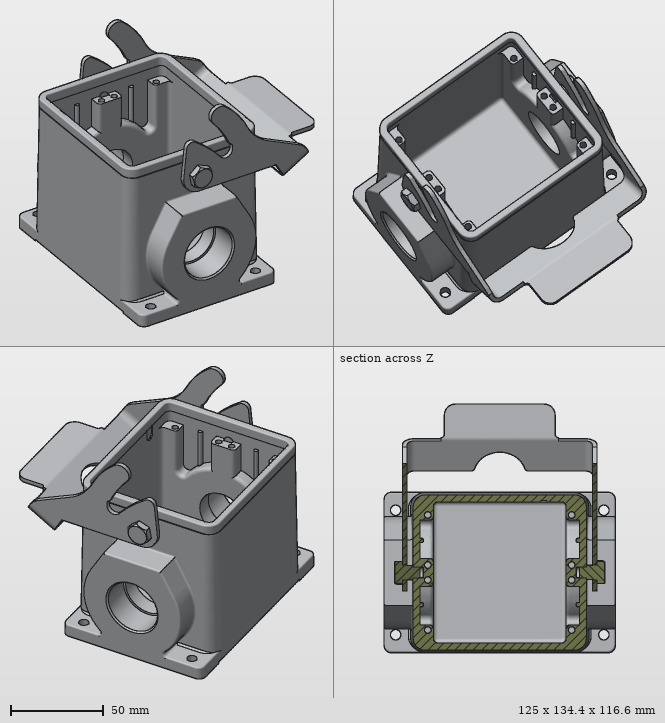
import cadquery as cq
import math

BASE_LENGTH = 125.0
BASE_WIDTH = 86.8
BASE_HEIGHT = 7.4
BASE_CORNER_RADIUS = 4.0
BASE_EDGE_RADIUS = 1.0
UNDERSIDE_RELIEF_LENGTH = 87.4
UNDERSIDE_RELIEF_DEPTH = 0.8

WALL_TOP = 85.2
WALL_FOOT_LENGTH = 96.5
WALL_CORNER_RADIUS = 8.0
WALL_DRAFT = 1.0
FOOT_FLARE = 1.1

MOUNT_HOLE_DIAMETER = 5.5
MOUNT_HOLE_X = 56.2
MOUNT_HOLE_Y = 33.6

ENTRY_HEIGHT = 33.1
ENTRY_RADIUS = 30.4
ENTRY_TOP = 63.2
ENTRY_SIDE_ANGLE = 30.0
ENTRY_EDGE_RADIUS = 1.1
ENTRY_ROOT_RADIUS = 1.1
ENTRY_NECK_RADIUS = 1.7
ENTRY_THREAD_DIAMETER = 30.5
ENTRY_THREAD_DEPTH = 17.5
ENTRY_BORE_DIAMETER = 28.0
ENTRY_MOUTH_CHAMFER = 1.0

CAVITY_LENGTH = 86.0
CAVITY_WIDTH = 76.1
CAVITY_CORNER_RADIUS = 3.2
FLOOR_HEIGHT = 5.4
FLOOR_LENGTH = 71.5
FLOOR_EDGE_RADIUS = 2.3

COLUMN_TOP = 78.6
COLUMN_EDGE_RADIUS = 2.2
MIDDLE_COLUMN_HALF = 7.7
CORNER_COLUMN_Y = 28.2
ARCH_RADIUS = 29.2
ARCH_FILLET = 3.0
COLUMN_HOLE_DIAMETER = 3.5
COLUMN_HOLE_DEPTH = 13.5
COLUMN_HOLE_X = 38.9
COLUMN_HOLE_Y = (4.0, 31.0)

RIB_WIDTH = 2.4
RIB_REACH = 1.9
RIB_Y = 17.3

SLOT_WIDTH = 5.9
SLOT_BOTTOM = 77.3
SLOT_DEPTH = 0.8
SLOT_X = 23.7

EDGE_SEARCH = 0.5

SEAL_LENGTH = 94.6
SEAL_WIDTH = 84.4
SEAL_CORNER_RADIUS = 7.7
SEAL_HEIGHT = 5.6
SEAL_EDGE_RADIUS = 0.8

BOLT_HEIGHT = 77.7
SHANK_DIAMETER = 7.9
SHOULDER_X = 47.0
THREAD_DIAMETER = 5.5
BOLT_BORE_END_X = 41.4
HEAD_CORNERS = 13.6
HEAD_HEIGHT = 4.2
HEAD_TURN = 100.0
HEAD_CAP_DIAMETER = 11.3
HEAD_CAP_HEIGHT = 1.2

LEVER_HALF_LENGTH = 52.5
SHEET = 2.5
PIVOT_HOLE_DIAMETER = 8.0
PIVOT_END_RADIUS = 10.1
BEND_RADIUS = 6.7
CROSSBAR_ANGLE = 30.0
CROSSBAR_WIDTH = 18.8
CROSSBAR_Y = 56.0
CROSSBAR_Z = 56.0
CUTOUT_RADIUS = 14.0
CUTOUT_DEPTH = 11.7
CUTOUT_CORNER_RADIUS = 2.0
HOOK_TIP = (13.3, 111.0)
HOOK_TIP_RADIUS = 5.6
HOOK_TIP_ANGLES = (49, 130, 215)
NOTCH = (17.1, 87.1)
NOTCH_RADIUS = 4.2
NOTCH_ANGLES = (0, 290, 220)
NOTCH_LIP = 2.5
FOOT_CORNER_LOW = (67.8, 73.0)
FOOT_CORNER_HIGH = (64.8, 75.0)
ARM_ROOT = (42.3, 85.5)
ARM_BACK_BEND = (36.5, 90.0)
ARM_BACK = (31.2, 97.3)
ARM_BACK_BULGE = (25.8, 106.3)
ARM_FRONT_BEND = (16.1, 97.7)
ARM_FRONT = (19.5, 91.0)
CAM_BEND = (7.0, 91.7)
CAM_TOP = (-3.1, 99.7)
CAM_NOSE = (-7.0, 99.2)
CAM_FRONT = (-8.2, 96.7)
TAB_END_Y = 91.0
TAB_HALF = 30.0
TAB_TOP = 68.2
TAB_CORNER_RADIUS = 6.0
TAB_ROOT_RADIUS = 1.7


def polar(centre, radius, degrees):
    angle = math.radians(degrees)
    return (centre[0] + radius * math.cos(angle), centre[1] + radius * math.sin(angle))


def rounded_box(length, width, height, radius, bottom):
    box = cq.Workplane("XY").box(length, width, height, centered=(True, True, False))
    return box.edges("|Z").fillet(radius).translate((0, 0, bottom))


def along_x(profile, start, end):
    """Extrude a closed outline drawn on the YZ plane from x = start to x = end."""
    return profile.extrude(end - start).translate((start, 0, 0))


def both_ends(solid):
    return solid.union(solid.mirror("YZ"))


def edges_at_both_ends(solid, low_corner, high_corner):
    """Edges centred in a box at the +X end or in its mirror image at the -X end."""
    mirrored = [(-x, y, z) for x, y, z in (low_corner, high_corner)]
    box = cq.selectors.BoxSelector(low_corner, high_corner)
    return solid.edges(box + cq.selectors.BoxSelector(*mirrored))


def make_base():
    """Rounded base plate, its +Y and -Y sides drafted like the walls."""
    foot_half = BASE_WIDTH / 2
    top_half = foot_half - BASE_HEIGHT * math.tan(math.radians(WALL_DRAFT))
    section = [(-foot_half, 0), (foot_half, 0), (top_half, BASE_HEIGHT), (-top_half, BASE_HEIGHT)]
    base = along_x(cq.Workplane("YZ").polyline(section).close(), -BASE_LENGTH / 2, BASE_LENGTH / 2)
    base = base.edges("not(|X or |Y)").fillet(BASE_CORNER_RADIUS)
    return base.faces(">Z").edges().fillet(BASE_EDGE_RADIUS)


def make_walls():
    """Drafted wall block, flush with the +Y and -Y sides of the base."""
    outline = cq.Sketch().rect(WALL_FOOT_LENGTH, BASE_WIDTH).vertices().fillet(WALL_CORNER_RADIUS)
    return cq.Workplane("XY").placeSketch(outline).extrude(WALL_TOP, taper=WALL_DRAFT)


def make_foot_flare():
    """Small bevel where the walls stand on the base."""
    outline = cq.Sketch().rect(WALL_FOOT_LENGTH + 2 * FOOT_FLARE, BASE_WIDTH - 2 * BASE_EDGE_RADIUS)
    outline = outline.vertices().fillet(WALL_CORNER_RADIUS)
    return cq.Workplane("XY", origin=(0, 0, BASE_HEIGHT)).placeSketch(outline).extrude(FOOT_FLARE, taper=45)


def make_entry():
    """Flat-topped round boss on the +X end, narrowing to a neck above the base."""
    centre = (0, ENTRY_HEIGHT)
    tangent = polar(centre, ENTRY_RADIUS, ENTRY_SIDE_ANGLE)
    slope = math.tan(math.radians(ENTRY_SIDE_ANGLE))
    top_half = tangent[0] - (ENTRY_TOP - tangent[1]) * slope
    neck_z = BASE_HEIGHT + ENTRY_NECK_RADIUS
    neck_y = math.sqrt((ENTRY_RADIUS + ENTRY_NECK_RADIUS) ** 2 - (ENTRY_HEIGHT - neck_z) ** 2)
    neck = (neck_y, neck_z)
    neck_angle = math.degrees(math.atan2(ENTRY_HEIGHT - neck_z, -neck_y))
    neck_start = polar(neck, ENTRY_NECK_RADIUS, neck_angle)
    neck_middle = polar(neck, ENTRY_NECK_RADIUS, (neck_angle + 270) / 2)
    half = (
        cq.Workplane("YZ")
        .moveTo(0, ENTRY_TOP)
        .lineTo(top_half, ENTRY_TOP)
        .lineTo(*tangent)
        .threePointArc((ENTRY_RADIUS, ENTRY_HEIGHT), neck_start)
        .threePointArc(neck_middle, (neck_y, BASE_HEIGHT))
        .lineTo(neck_y, 0)
        .lineTo(0, 0)
        .close()
    )
    boss_half = along_x(half, CAVITY_LENGTH / 2, BASE_LENGTH / 2)
    boss = boss_half.union(boss_half.mirror("XZ"))
    return boss.faces(">X").edges("not(<Z)").fillet(ENTRY_EDGE_RADIUS)


def make_cavity():
    """Deep middle of the cavity, its floor edges rounded."""
    height = WALL_TOP - FLOOR_HEIGHT
    deep = cq.Workplane("XY").box(FLOOR_LENGTH, CAVITY_WIDTH, height, centered=(True, True, False))
    return deep.edges("|Z or <Z").fillet(FLOOR_EDGE_RADIUS).translate((0, 0, FLOOR_HEIGHT))


def make_rib():
    """Upright half-round rib on the +X end wall."""
    wall = CAVITY_LENGTH / 2
    nose_x = wall - RIB_REACH + RIB_WIDTH / 2
    nose = cq.Workplane("XY").center(nose_x, RIB_Y).circle(RIB_WIDTH / 2).extrude(COLUMN_TOP)
    back = cq.Workplane("XY").center((nose_x + wall) / 2, RIB_Y).rect(wall - nose_x, RIB_WIDTH)
    return nose.union(back.extrude(COLUMN_TOP))


def make_pocket():
    """Pocket between the middle and a corner column, its floor arched concentric with the cable entry."""
    centre = (0, ENTRY_HEIGHT)
    fillet_y = CORNER_COLUMN_Y - ARCH_FILLET
    reach = ARCH_RADIUS + ARCH_FILLET
    fillet = (fillet_y, ENTRY_HEIGHT + math.sqrt(reach**2 - fillet_y**2))
    touch_angle = math.degrees(math.acos(fillet_y / reach))
    start_angle = math.degrees(math.acos(MIDDLE_COLUMN_HALF / ARCH_RADIUS))
    outline = (
        cq.Workplane("YZ")
        .moveTo(MIDDLE_COLUMN_HALF, COLUMN_TOP)
        .lineTo(*polar(centre, ARCH_RADIUS, start_angle))
        .threePointArc(
            polar(centre, ARCH_RADIUS, (start_angle + touch_angle) / 2),
            polar(centre, ARCH_RADIUS, touch_angle),
        )
        .threePointArc(
            polar(fillet, ARCH_FILLET, (touch_angle + 180 + 360) / 2),
            (CORNER_COLUMN_Y, fillet[1]),
        )
        .lineTo(CORNER_COLUMN_Y, COLUMN_TOP)
        .close()
    )
    return along_x(outline, 0, CAVITY_LENGTH / 2).cut(make_rib())


def hollow_out(shell):
    """Cut the cavity, leaving columns and ribs standing at each end."""
    above_columns = rounded_box(CAVITY_LENGTH, CAVITY_WIDTH, WALL_TOP, CAVITY_CORNER_RADIUS, COLUMN_TOP)
    pockets = make_pocket()
    pockets = both_ends(pockets.union(pockets.mirror("XZ")))
    shell = shell.cut(make_cavity()).cut(above_columns).cut(pockets)

    face = FLOOR_LENGTH / 2
    low = (face - EDGE_SEARCH, -CAVITY_WIDTH / 2, ENTRY_HEIGHT + ENTRY_BORE_DIAMETER / 2)
    high = (face + EDGE_SEARCH, CAVITY_WIDTH / 2, COLUMN_TOP - EDGE_SEARCH)
    return edges_at_both_ends(shell, low, high).fillet(COLUMN_EDGE_RADIUS)


def make_shell():
    """Solid outside shape of the housing."""
    walls = make_walls().union(both_ends(make_entry()))
    low = (CAVITY_LENGTH / 2 + EDGE_SEARCH, -CAVITY_WIDTH / 2, EDGE_SEARCH)
    high = (WALL_FOOT_LENGTH / 2 + EDGE_SEARCH, CAVITY_WIDTH / 2, ENTRY_TOP + EDGE_SEARCH)
    walls = edges_at_both_ends(walls, low, high).fillet(ENTRY_ROOT_RADIUS)
    return make_base().union(walls).union(make_foot_flare())


def make_entry_bore():
    """Bore, wider thread and bevelled mouth of the cable entry at the +X end."""
    outer_face = cq.Workplane("YZ", origin=(BASE_LENGTH / 2, 0, ENTRY_HEIGHT))
    bore = outer_face.circle(ENTRY_BORE_DIAMETER / 2).extrude(-BASE_LENGTH / 2)
    thread = outer_face.circle(ENTRY_THREAD_DIAMETER / 2).extrude(-ENTRY_THREAD_DEPTH)
    mouth = outer_face.circle(ENTRY_THREAD_DIAMETER / 2 + ENTRY_MOUTH_CHAMFER)
    mouth = mouth.extrude(-ENTRY_MOUTH_CHAMFER, taper=45)
    return bore.union(thread).union(mouth)


def make_bolt_bore():
    """Bore for the +X stud, running on into the middle column, and a flat seat for the shank."""
    stud = along_x(cq.Workplane("YZ").circle(THREAD_DIAMETER / 2), BOLT_BORE_END_X, SHOULDER_X)
    seat = along_x(cq.Workplane("YZ").circle(SHANK_DIAMETER / 2), SHOULDER_X, LEVER_HALF_LENGTH)
    return stud.union(seat).translate((0, 0, BOLT_HEIGHT))


def make_slot():
    """Shallow round-ended slot in the +Y cavity wall, open at the top."""
    centre_z = SLOT_BOTTOM + SLOT_WIDTH / 2
    wall = cq.Workplane("XZ", origin=(SLOT_X, CAVITY_WIDTH / 2, 0))
    end = wall.center(0, centre_z).circle(SLOT_WIDTH / 2).extrude(-SLOT_DEPTH)
    height = WALL_TOP - centre_z
    shaft = wall.center(0, centre_z + height / 2).rect(SLOT_WIDTH, height).extrude(-SLOT_DEPTH)
    return end.union(shaft)


def four_points(x, y):
    return [(sx * x, sy * y) for sx in (-1, 1) for sy in (-1, 1)]


def make_housing():
    housing = hollow_out(make_shell())
    housing = housing.cut(both_ends(make_entry_bore())).cut(both_ends(make_bolt_bore())).cut(make_slot())

    mounts = cq.Workplane("XY").pushPoints(four_points(MOUNT_HOLE_X, MOUNT_HOLE_Y))
    housing = housing.cut(mounts.circle(MOUNT_HOLE_DIAMETER / 2).extrude(BASE_HEIGHT))
    column_tops = cq.Workplane("XY", origin=(0, 0, COLUMN_TOP))
    for hole_y in COLUMN_HOLE_Y:
        holes = column_tops.pushPoints(four_points(COLUMN_HOLE_X, hole_y)).circle(COLUMN_HOLE_DIAMETER / 2)
        housing = housing.cut(holes.extrude(-COLUMN_HOLE_DEPTH))

    relief = cq.Workplane("XY").rect(UNDERSIDE_RELIEF_LENGTH, BASE_WIDTH)
    return housing.cut(relief.extrude(UNDERSIDE_RELIEF_DEPTH))


def make_seal():
    ring = rounded_box(SEAL_LENGTH, SEAL_WIDTH, SEAL_HEIGHT, SEAL_CORNER_RADIUS, WALL_TOP)
    ring = ring.cut(rounded_box(CAVITY_LENGTH, CAVITY_WIDTH, SEAL_HEIGHT, CAVITY_CORNER_RADIUS, WALL_TOP))
    return ring.faces(">Z").edges().fillet(SEAL_EDGE_RADIUS)


def make_bolt():
    """Bolt at the +X end, its hexagon head outside the lever."""
    axis = (0, 0, BOLT_HEIGHT)
    head = cq.Workplane("YZ").polygon(6, HEAD_CORNERS).extrude(HEAD_HEIGHT)
    head = head.rotate((0, 0, 0), (1, 0, 0), HEAD_TURN)
    cap_flare = (HEAD_CORNERS - HEAD_CAP_DIAMETER) / 2 * HEAD_HEIGHT / HEAD_CAP_HEIGHT
    cap = cq.Workplane("YZ", origin=(HEAD_HEIGHT, 0, 0)).circle(HEAD_CAP_DIAMETER / 2)
    cap = cap.workplane(offset=-HEAD_HEIGHT).circle(HEAD_CAP_DIAMETER / 2 + cap_flare).loft()
    head = head.intersect(cap).translate((LEVER_HALF_LENGTH, 0, 0))
    shank = along_x(cq.Workplane("YZ").circle(SHANK_DIAMETER / 2), SHOULDER_X, LEVER_HALF_LENGTH)
    stud = along_x(cq.Workplane("YZ").circle(THREAD_DIAMETER / 2), CAVITY_LENGTH / 2, SHOULDER_X)
    return head.union(shank).union(stud).translate(axis)


def make_side_plate():
    """Hooked plate on the +X side, down to the start of the bend."""
    angle = math.radians(CROSSBAR_ANGLE)
    inner_foot = (CROSSBAR_Y - BEND_RADIUS * math.sin(angle), CROSSBAR_Z + BEND_RADIUS * math.cos(angle))
    outer_foot = polar(inner_foot, CROSSBAR_WIDTH, CROSSBAR_ANGLE)
    underside = BOLT_HEIGHT - PIVOT_END_RADIUS
    pivot = (0, BOLT_HEIGHT)
    knee_y = inner_foot[0] - (underside - inner_foot[1]) * math.tan(angle)
    tip = [polar(HOOK_TIP, HOOK_TIP_RADIUS, turn) for turn in HOOK_TIP_ANGLES]
    notch = [polar(NOTCH, NOTCH_RADIUS, turn) for turn in NOTCH_ANGLES]
    profile = (
        cq.Workplane("YZ")
        .moveTo(*inner_foot)
        .lineTo(*outer_foot)
        .lineTo(*FOOT_CORNER_LOW)
        .lineTo(*FOOT_CORNER_HIGH)
        .lineTo(*ARM_ROOT)
        .threePointArc(ARM_BACK_BEND, ARM_BACK)
        .threePointArc(ARM_BACK_BULGE, tip[0])
        .threePointArc(tip[1], tip[2])
        .threePointArc(ARM_FRONT_BEND, ARM_FRONT)
        .lineTo(NOTCH[0] + NOTCH_RADIUS, NOTCH[1] + NOTCH_LIP)
        .lineTo(*notch[0])
        .threePointArc(notch[1], notch[2])
        .threePointArc(CAM_BEND, CAM_TOP)
        .threePointArc(CAM_NOSE, CAM_FRONT)
        .lineTo(-PIVOT_END_RADIUS, BOLT_HEIGHT)
        .threePointArc(polar(pivot, PIVOT_END_RADIUS, 225), (0, underside))
        .lineTo(knee_y, underside)
        .close()
    )
    plate = along_x(profile, LEVER_HALF_LENGTH - SHEET, LEVER_HALF_LENGTH)
    pivot_hole = cq.Workplane("YZ", origin=(0, *pivot)).circle(PIVOT_HOLE_DIAMETER / 2)
    return plate.cut(pivot_hole.extrude(BASE_LENGTH))


def make_crossbar():
    """Tilted sheet joining the side plates, bent round at both ends and cut out in its lower edge."""
    angle = math.radians(CROSSBAR_ANGLE)
    along = (0, math.cos(angle), math.sin(angle))
    foot = cq.Plane(origin=(0, CROSSBAR_Y, CROSSBAR_Z), xDir=(1, 0, 0), normal=along)
    end = LEVER_HALF_LENGTH
    bend_start = end - BEND_RADIUS
    inner_bend = BEND_RADIUS - SHEET
    outer_middle = polar((bend_start, -BEND_RADIUS), BEND_RADIUS, 45)
    inner_middle = polar((bend_start, -BEND_RADIUS), inner_bend, 45)
    half = (
        cq.Workplane(foot)
        .moveTo(0, 0)
        .lineTo(bend_start, 0)
        .threePointArc(outer_middle, (end, -BEND_RADIUS))
        .lineTo(end - SHEET, -BEND_RADIUS)
        .threePointArc(inner_middle, (bend_start, -SHEET))
        .lineTo(0, -SHEET)
        .close()
        .extrude(CROSSBAR_WIDTH)
    )
    bar = half.union(half.mirror("YZ"))

    face = cq.Plane(origin=(0, CROSSBAR_Y, CROSSBAR_Z), xDir=(1, 0, 0), normal=(0, -along[2], along[1]))
    centre = (0, CUTOUT_DEPTH - CUTOUT_RADIUS)
    reach = CUTOUT_RADIUS + CUTOUT_CORNER_RADIUS
    corner_x = math.sqrt(reach**2 - (CUTOUT_CORNER_RADIUS - centre[1]) ** 2)
    corner = (corner_x, CUTOUT_CORNER_RADIUS)
    touch_angle = math.degrees(math.asin((CUTOUT_CORNER_RADIUS - centre[1]) / reach))
    touch = polar(centre, CUTOUT_RADIUS, touch_angle)
    corner_middle = polar(corner, CUTOUT_CORNER_RADIUS, (touch_angle + 180 + 270) / 2)
    cutout_half = (
        cq.Workplane(face)
        .moveTo(0, CUTOUT_DEPTH)
        .threePointArc(polar(centre, CUTOUT_RADIUS, (touch_angle + 90) / 2), touch)
        .threePointArc(corner_middle, (corner_x, 0))
        .lineTo(0, 0)
        .close()
        .extrude(SHEET)
    )
    return bar.cut(cutout_half).cut(cutout_half.mirror("YZ"))


def make_tab():
    """Flat thumb tab with rounded corners, bent level from the upper edge of the crossbar."""
    angle = math.radians(CROSSBAR_ANGLE)
    lower = polar((CROSSBAR_Y, CROSSBAR_Z), CROSSBAR_WIDTH, CROSSBAR_ANGLE)
    upper = polar(lower, SHEET, CROSSBAR_ANGLE + 90)
    crease_y = upper[0] + (TAB_TOP - upper[1]) / math.tan(angle)
    tangent_length = math.dist(upper, (crease_y, TAB_TOP))
    root_y = crease_y + tangent_length
    bend_radius = tangent_length / math.tan(angle / 2)
    bend_middle = polar((root_y, TAB_TOP - bend_radius), bend_radius, 90 + CROSSBAR_ANGLE / 2)
    flare_half = TAB_HALF + TAB_ROOT_RADIUS
    bend = along_x(
        cq.Workplane("YZ")
        .moveTo(*lower)
        .lineTo(*upper)
        .threePointArc(bend_middle, (root_y, TAB_TOP))
        .lineTo(root_y, TAB_TOP - SHEET)
        .close(),
        -flare_half,
        flare_half,
    )

    flare_end = root_y + TAB_ROOT_RADIUS
    flare_middle = polar((flare_half, flare_end), TAB_ROOT_RADIUS, 225)
    corner = (TAB_HALF - TAB_CORNER_RADIUS, TAB_END_Y - TAB_CORNER_RADIUS)
    half = (
        cq.Workplane("XY", origin=(0, 0, TAB_TOP))
        .moveTo(0, root_y)
        .lineTo(flare_half, root_y)
        .threePointArc(flare_middle, (TAB_HALF, flare_end))
        .lineTo(TAB_HALF, corner[1])
        .threePointArc(polar(corner, TAB_CORNER_RADIUS, 45), (corner[0], TAB_END_Y))
        .lineTo(0, TAB_END_Y)
        .close()
        .extrude(-SHEET)
    )
    return bend.union(half).union(half.mirror("YZ"))


def make_lever():
    return make_crossbar().union(both_ends(make_side_plate())).union(make_tab()).clean()


housing = make_housing()
seal = make_seal()
lever = make_lever()
bolt = make_bolt()
bolts = [bolt.rotate((0, 0, 0), (0, 0, 1), turn) for turn in (0, 180)]

result = cq.Compound.makeCompound([housing.val(), seal.val(), lever.val(), *[b.val() for b in bolts]])